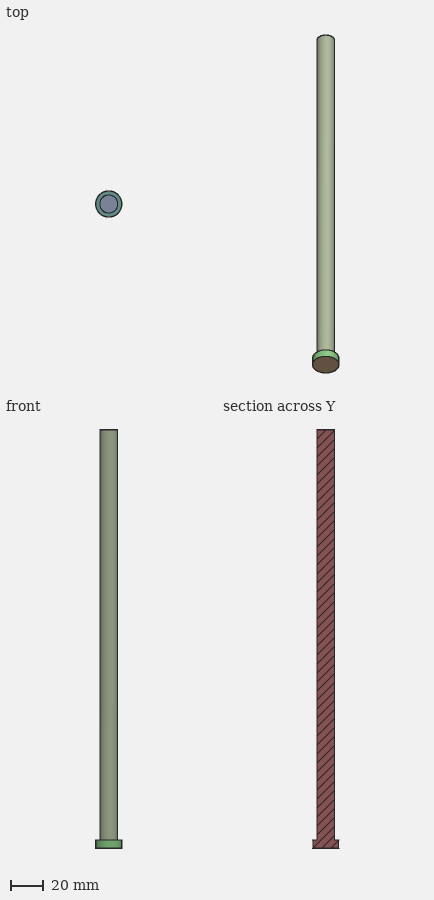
import cadquery as cq

total_length = 255.0
head_diameter = 16.0
head_height = 5.0
shaft_diameter = 11.0

head = cq.Workplane("XY").circle(head_diameter / 2).extrude(head_height)
shaft = cq.Workplane("XY").circle(shaft_diameter / 2).extrude(total_length)

result = head.union(shaft)